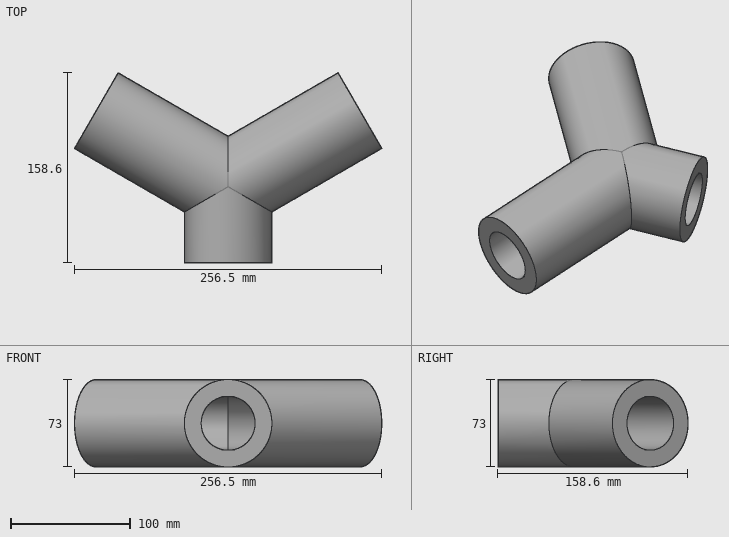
import cadquery as cq
import math

outer_diameter = 73.03
bore_diameter = 44.98
branch_length = 127.0
stem_length = branch_length / 2

pipes = [
    (30, branch_length),
    (150, branch_length),
    (270, stem_length),
]


def rod(diameter, angle, length):
    """Solid cylinder running from the origin along the given direction in the XY plane."""
    heading = math.radians(angle)
    direction = cq.Vector(math.cos(heading), math.sin(heading), 0)
    cylinder = cq.Solid.makeCylinder(diameter / 2, length, cq.Vector(0, 0, 0), direction)
    return cq.Workplane(cylinder)


def branched_body(diameter):
    """Three rods of one diameter joined at the origin, meeting in mitred seams."""
    body = cq.Workplane("XY")
    for angle, length in pipes:
        body = body.union(rod(diameter, angle, length))
    return body


result = branched_body(outer_diameter).cut(branched_body(bore_diameter))